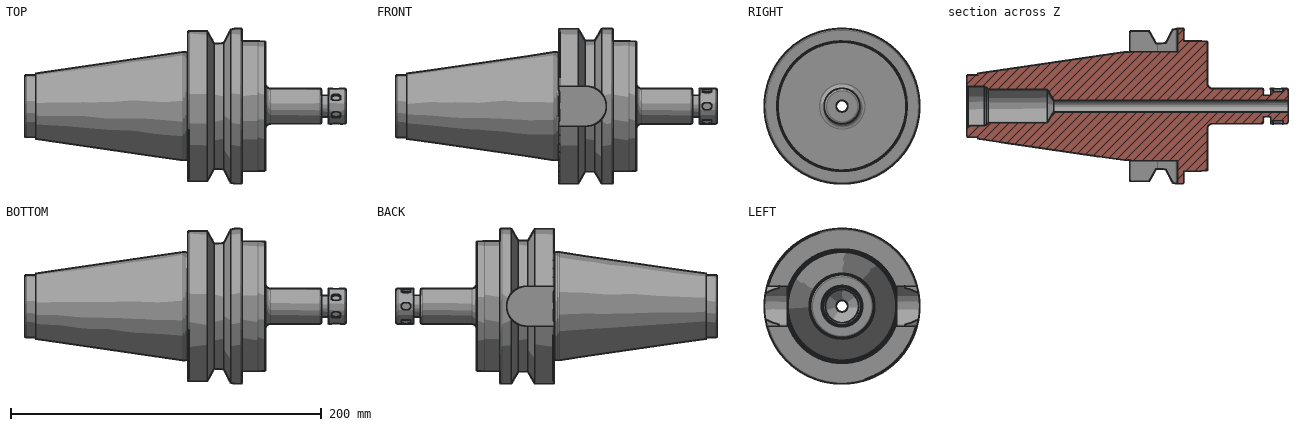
import cadquery as cq
import math

TOTAL_LENGTH = 206.8

RING_LENGTH = 7.0
RING_DIA = 40.3
RING_FILLET = 1.0
GAUGE_X = 101.7
GAUGE_DIA = 70.0
TAPER_RATE = 7 / 24

RELIEF_X = 103.0
RELIEF_DEPTH = 0.2
RELIEF_RADIUS = 1.0
RELIEF_FACE_DEPTH = 0.6
RELIEF_FACE_HEIGHT = 1.9

FLANGE_X = 104.8
FLANGE_DIA = 100.0
FRONT_RIM_FILLET = 0.8
GROOVE_X = 125.0
GROOVE_DIA = 84.8
GROOVE_FLOOR = 6.2
GROOVE_HALF_ANGLE = 30
FLANGE_END_X = 139.8
FLANGE_END_FILLET = 1.0

COLLAR_DIA = 84.0
COLLAR_CONE_X = 149.7
COLLAR_END_DIA = 83.5
COLLAR_CHAMFER = 0.6
COLLAR_END_X = 154.9

SPINDLE_DIA = 23.0
SPINDLE_FILLET = 3.0
SPINDLE_END_X = 190.9
SPINDLE_END_FILLET = 1.2
NUT_NECK_DIA = 14.0
NUT_X = 195.2
NUT_REAR_FILLET = 0.6
NUT_TIP_FILLET = 1.5

POCKET_COUNT = 6
POCKET_X = 200.2
POCKET_LENGTH = 6.2
POCKET_WIDTH = 4.5
POCKET_DEPTH = 2.0

KEYWAY_WIDTH = 25.6
KEYWAY_FLOOR_Y = 35.2
KEYWAY_END_X = 135.5

BORE_MOUTH_DIA = 26.7
BORE_DIA = 25.0
BORE_DEPTH = 11.4
SEAT_DIA = 24.0
SEAT_LENGTH = 1.2
LEAD_IN_HALF_ANGLE = 45
THREAD_DIA = 21.3
THREAD_END_X = 51.7
DRILL_TIP_ANGLE = 118
THROUGH_DIA = 7.2


def cone_length(large_dia, small_dia, half_angle):
    """Axial length of a cone between two diameters, its half angle measured from the axis."""
    return (large_dia - small_dia) / 2 / math.tan(math.radians(half_angle))


def revolve_about_x(profile):
    return profile.close().revolve(360, (0, 0, 0), (1, 0, 0))


def make_body():
    taper_start_dia = GAUGE_DIA - (GAUGE_X - RING_LENGTH) * TAPER_RATE
    gauge_r = GAUGE_DIA / 2
    relief_r = gauge_r - RELIEF_DEPTH
    relief_end_x = FLANGE_X + RELIEF_FACE_DEPTH
    groove_start = GROOVE_X - GROOVE_FLOOR / 2
    groove_end = GROOVE_X + GROOVE_FLOOR / 2
    wall_angle = 90 - GROOVE_HALF_ANGLE
    wall_length = cone_length(FLANGE_DIA, GROOVE_DIA, wall_angle)
    spindle_r = SPINDLE_DIA / 2
    profile = (
        cq.Workplane("XY")
        .moveTo(0, 0)
        .lineTo(0, RING_DIA / 2 - RING_FILLET)
        .radiusArc((RING_FILLET, RING_DIA / 2), RING_FILLET)
        .lineTo(RING_LENGTH, RING_DIA / 2)
        .lineTo(RING_LENGTH, taper_start_dia / 2)
        .lineTo(GAUGE_X, gauge_r)
        .lineTo(RELIEF_X, gauge_r)
        .lineTo(relief_end_x - RELIEF_RADIUS, relief_r)
        .radiusArc((relief_end_x, relief_r + RELIEF_RADIUS), -RELIEF_RADIUS)
        .lineTo(FLANGE_X, gauge_r + RELIEF_FACE_HEIGHT)
        .lineTo(FLANGE_X, FLANGE_DIA / 2 - FRONT_RIM_FILLET)
        .radiusArc((FLANGE_X + FRONT_RIM_FILLET, FLANGE_DIA / 2), FRONT_RIM_FILLET)
        .lineTo(groove_start - wall_length, FLANGE_DIA / 2)
        .lineTo(groove_start, GROOVE_DIA / 2)
        .lineTo(groove_end, GROOVE_DIA / 2)
        .lineTo(groove_end + wall_length, FLANGE_DIA / 2)
        .lineTo(FLANGE_END_X - FLANGE_END_FILLET, FLANGE_DIA / 2)
        .radiusArc((FLANGE_END_X, FLANGE_DIA / 2 - FLANGE_END_FILLET), FLANGE_END_FILLET)
        .lineTo(FLANGE_END_X, COLLAR_DIA / 2)
        .lineTo(COLLAR_CONE_X, COLLAR_DIA / 2)
        .lineTo(COLLAR_END_X - COLLAR_CHAMFER, COLLAR_END_DIA / 2)
        .lineTo(COLLAR_END_X, COLLAR_END_DIA / 2 - COLLAR_CHAMFER)
        .lineTo(COLLAR_END_X, spindle_r + SPINDLE_FILLET)
        .radiusArc((COLLAR_END_X + SPINDLE_FILLET, spindle_r), -SPINDLE_FILLET)
        .lineTo(SPINDLE_END_X - SPINDLE_END_FILLET, spindle_r)
        .radiusArc((SPINDLE_END_X, spindle_r - SPINDLE_END_FILLET), SPINDLE_END_FILLET)
        .lineTo(SPINDLE_END_X, NUT_NECK_DIA / 2)
        .lineTo(NUT_X, NUT_NECK_DIA / 2)
        .lineTo(NUT_X, spindle_r - NUT_REAR_FILLET)
        .radiusArc((NUT_X + NUT_REAR_FILLET, spindle_r), NUT_REAR_FILLET)
        .lineTo(TOTAL_LENGTH - NUT_TIP_FILLET, spindle_r)
        .radiusArc((TOTAL_LENGTH, spindle_r - NUT_TIP_FILLET), NUT_TIP_FILLET)
        .lineTo(TOTAL_LENGTH, 0)
    )
    return revolve_about_x(profile)


def make_bore():
    mouth_depth = (BORE_MOUTH_DIA - BORE_DIA) / 2
    seat_end = BORE_DEPTH + SEAT_LENGTH
    lead_in_length = cone_length(SEAT_DIA, THREAD_DIA, LEAD_IN_HALF_ANGLE)
    tip_length = cone_length(THREAD_DIA, THROUGH_DIA, DRILL_TIP_ANGLE / 2)
    profile = (
        cq.Workplane("XY")
        .moveTo(0, 0)
        .lineTo(0, BORE_MOUTH_DIA / 2)
        .lineTo(mouth_depth, BORE_DIA / 2)
        .lineTo(BORE_DEPTH, BORE_DIA / 2)
        .lineTo(BORE_DEPTH, SEAT_DIA / 2)
        .lineTo(seat_end, SEAT_DIA / 2)
        .lineTo(seat_end + lead_in_length, THREAD_DIA / 2)
        .lineTo(THREAD_END_X, THREAD_DIA / 2)
        .lineTo(THREAD_END_X + tip_length, THROUGH_DIA / 2)
        .lineTo(TOTAL_LENGTH, THROUGH_DIA / 2)
        .lineTo(TOTAL_LENGTH, 0)
    )
    return revolve_about_x(profile)


def make_keyway(side):
    """Round-ended keyway open toward the taper; side is +1 for +Y and -1 for -Y."""
    half_width = KEYWAY_WIDTH / 2
    arc_x = KEYWAY_END_X - half_width
    return (
        cq.Workplane("XZ", origin=(0, side * KEYWAY_FLOOR_Y, 0))
        .moveTo(GAUGE_X, -half_width)
        .lineTo(arc_x, -half_width)
        .threePointArc((KEYWAY_END_X, 0), (arc_x, half_width))
        .lineTo(GAUGE_X, half_width)
        .close()
        .extrude(-side * FLANGE_DIA / 2)
    )


def make_pocket(angle):
    """Flat-floored obround pocket in the nut, turned about the tool axis from the -Y side."""
    floor_y = SPINDLE_DIA / 2 - POCKET_DEPTH
    return (
        cq.Workplane("XZ", origin=(0, -floor_y, 0))
        .center(POCKET_X, 0)
        .slot2D(POCKET_LENGTH, POCKET_WIDTH)
        .extrude(SPINDLE_DIA / 2)
        .rotate((0, 0, 0), (1, 0, 0), angle)
    )


result = make_body().cut(make_bore())
for side in (1, -1):
    result = result.cut(make_keyway(side))
for index in range(POCKET_COUNT):
    result = result.cut(make_pocket(index * 360 / POCKET_COUNT))